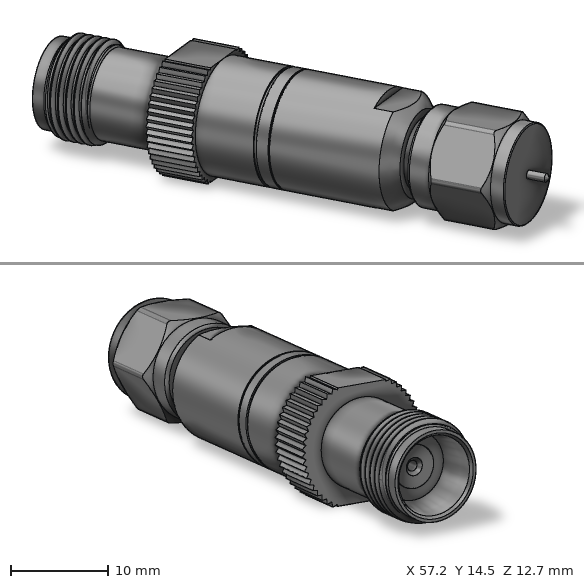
import cadquery as cq
import math


LENGTH = 57.2
KNURL_START = 14.3
KNURL_END = 19.55
BODY_END = 42.4
NUT_START = 43.5
HEX_START = 46.05
HEX_END = 53.2
NUT_END = 54.8

SLEEVE_RADIUS = 4.9
BODY_RADIUS = 6.35
BODY_CHAMFER = 1.6
NECK_RADIUS = 3.9
NUT_RADIUS = 5.45
NUT_START_CHAMFER = 0.35
NUT_END_CHAMFER = 0.1
PIN_RADIUS = 0.45
PIN_TIP_RADIUS = 0.1

GROOVE_DEPTH = 0.2
WIDE_GROOVE_START = 26.25
WIDE_GROOVE_WIDTH = 0.35
NARROW_GROOVE_START = 27.95
NARROW_GROOVE_WIDTH = 0.2

WRENCH_FLAT_START = 38.6
WRENCH_FLAT_SPAN = 11.0

KNURL_RADIUS = 14.5 / 2
KNURL_DEPTH = 0.4
KNURL_TEETH = 56
KNURL_FLAT_SPAN = 2 * BODY_RADIUS

HEX_SPAN = 11.0
HEX_CORNER_FILLET = 0.6
HEX_CONE_LENGTH = 0.8

THREAD_START = 1.3
THREAD_END = 6.65
THREAD_ROOT_RADIUS = 5.1
THREAD_CREST_RADIUS = 5.6
THREAD_PITCH = 0.9
THREAD_CREST_WIDTH = 0.1
HELIX_START = 0.8
HELIX_TURNS = 7
RIDGE_BASE_RADIUS = 5.0
RIDGE_BASE_WIDTH = 0.8
ENVELOPE_RADIUS = 5.7

BORE_MOUTH_RADIUS = 4.3
BORE_FLOOR_RADIUS = 3.65
BORE_DEPTH = 4.35
BORE_CHAMFER = 0.3
INSULATOR_RADIUS = 2.35
INSULATOR_HEIGHT = 0.25
CONTACT_MOUTH_RADIUS = 1.0
CONTACT_HOLE_RADIUS = 0.6
CONTACT_HOLE_DEPTH = 2.3


def revolve_about_x(points):
    """Turn a closed outline of (x, radius) points about the X axis."""
    return cq.Workplane("XY").polyline(points).close().revolve(360, (0, 0), (1, 0))


def cylinder(start, end, radius):
    """Solid cylinder on the X axis."""
    return cq.Workplane("YZ", origin=(start, 0, 0)).circle(radius).extrude(end - start)


def ring_groove(start, width):
    """Ring that cuts a square groove into the body."""
    outer = cylinder(start, start + width, BODY_RADIUS + GROOVE_DEPTH)
    return outer.cut(cylinder(start, start + width, BODY_RADIUS - GROOVE_DEPTH))


def slab(start, end, height):
    """Block centred on the X axis with flat faces at top and bottom."""
    width = 4 * BODY_RADIUS
    return cq.Workplane("XY").box(end - start, width, height).translate(((start + end) / 2, 0, 0))


def helical_bar(corners, pitch, height):
    """Bar wound about the Z axis; its section has the given (radius, z) corners."""
    helices = []
    for radius, offset in corners:
        helix = cq.Wire.makeHelix(pitch, height, radius)
        helices.append(helix.translate(cq.Vector(0, 0, offset)))
    faces = []
    for i, helix in enumerate(helices):
        next_helix = helices[(i + 1) % len(helices)]
        faces.extend(cq.Face.makeRuledSurface(helix, next_helix).Faces())
    for end in (0, height):
        section = [cq.Vector(radius, 0, end + offset) for radius, offset in corners]
        faces.append(cq.Face.makeFromWires(cq.Wire.makePolygon(section, close=True)))
    return cq.Workplane(cq.Solid.makeSolid(cq.Shell.makeShell(faces)))


def make_sleeve():
    return cylinder(0, KNURL_START, SLEEVE_RADIUS)


def make_thread():
    """Right-handed ridge on a raised core, tapered off at 45 degrees at both ends."""
    corners = [
        (RIDGE_BASE_RADIUS, -RIDGE_BASE_WIDTH / 2),
        (THREAD_CREST_RADIUS, -THREAD_CREST_WIDTH / 2),
        (THREAD_CREST_RADIUS, THREAD_CREST_WIDTH / 2),
        (RIDGE_BASE_RADIUS, RIDGE_BASE_WIDTH / 2),
    ]
    ridge = helical_bar(corners, THREAD_PITCH, HELIX_TURNS * THREAD_PITCH)
    ridge = ridge.rotate((0, 0, 0), (0, 1, 0), 90).translate((HELIX_START, 0, 0))
    core = cylinder(THREAD_START, THREAD_END, THREAD_ROOT_RADIUS)
    taper = ENVELOPE_RADIUS - SLEEVE_RADIUS
    envelope = revolve_about_x([
        (THREAD_START, 0),
        (THREAD_START, SLEEVE_RADIUS),
        (THREAD_START + taper, ENVELOPE_RADIUS),
        (THREAD_END - taper, ENVELOPE_RADIUS),
        (THREAD_END, SLEEVE_RADIUS),
        (THREAD_END, 0),
    ])
    return core.intersect(envelope).union(ridge.intersect(envelope))


def make_knurled_collar():
    """Collar with V-shaped teeth and two flats level with the body."""
    half_step = math.pi / KNURL_TEETH
    outline = []
    for i in range(2 * KNURL_TEETH):
        radius = KNURL_RADIUS if i % 2 else KNURL_RADIUS - KNURL_DEPTH
        angle = i * half_step
        outline.append((radius * math.cos(angle), radius * math.sin(angle)))
    collar = cq.Workplane("YZ", origin=(KNURL_START, 0, 0)).polyline(outline).close()
    collar = collar.extrude(KNURL_END - KNURL_START)
    return collar.intersect(slab(KNURL_START, KNURL_END, KNURL_FLAT_SPAN))


def make_body():
    """Chamfered cylinder with two ring grooves and two wrench flats."""
    body = cylinder(KNURL_START, BODY_END, BODY_RADIUS).faces(">X").chamfer(BODY_CHAMFER)
    body = body.cut(ring_groove(WIDE_GROOVE_START, WIDE_GROOVE_WIDTH))
    body = body.cut(ring_groove(NARROW_GROOVE_START, NARROW_GROOVE_WIDTH))
    flat_stock = cylinder(WRENCH_FLAT_START, BODY_END, 2 * BODY_RADIUS)
    return body.cut(flat_stock.cut(slab(WRENCH_FLAT_START, BODY_END, WRENCH_FLAT_SPAN)))


def make_nut():
    """Round nut with a hexagon in the middle, coned down to the round at both ends."""
    nut = cylinder(NUT_START, NUT_END, NUT_RADIUS)
    nut = nut.faces("<X").chamfer(NUT_START_CHAMFER).faces(">X").chamfer(NUT_END_CHAMFER)
    corner_radius = HEX_SPAN / 2 / math.cos(math.pi / 6)
    hexagon = cq.Workplane("YZ", origin=(HEX_START, 0, 0)).polygon(6, 2 * corner_radius)
    hexagon = hexagon.extrude(HEX_END - HEX_START).edges("|X").fillet(HEX_CORNER_FILLET)
    cones = revolve_about_x([
        (HEX_START, 0),
        (HEX_START, NUT_RADIUS),
        (HEX_START + HEX_CONE_LENGTH, corner_radius),
        (HEX_END - HEX_CONE_LENGTH, corner_radius),
        (HEX_END, NUT_RADIUS),
        (HEX_END, 0),
    ])
    return nut.union(hexagon.intersect(cones))


def make_neck():
    return cylinder(BODY_END, NUT_START, NECK_RADIUS)


def make_pin():
    """Centre pin with a 45 degree pointed tip."""
    pin = cylinder(NUT_END, LENGTH, PIN_RADIUS)
    return pin.faces(">X").chamfer(PIN_RADIUS - PIN_TIP_RADIUS)


def make_socket():
    """Tapered bore around a low insulator that holds the contact hole."""
    mouth_edge = BORE_MOUTH_RADIUS + BORE_CHAMFER
    insulator_face = BORE_DEPTH - INSULATOR_HEIGHT
    contact_taper = CONTACT_MOUTH_RADIUS - CONTACT_HOLE_RADIUS
    hole_floor = insulator_face + CONTACT_HOLE_DEPTH
    return revolve_about_x([
        (0, 0),
        (0, mouth_edge),
        (BORE_CHAMFER, BORE_MOUTH_RADIUS),
        (BORE_DEPTH, BORE_FLOOR_RADIUS),
        (BORE_DEPTH, INSULATOR_RADIUS),
        (insulator_face, INSULATOR_RADIUS),
        (insulator_face, CONTACT_MOUTH_RADIUS),
        (insulator_face + contact_taper, CONTACT_HOLE_RADIUS),
        (hole_floor, CONTACT_HOLE_RADIUS),
        (hole_floor, 0),
    ])


result = (
    make_sleeve()
    .union(make_thread())
    .union(make_body())
    .union(make_knurled_collar())
    .union(make_neck())
    .union(make_nut())
    .union(make_pin())
    .cut(make_socket())
)